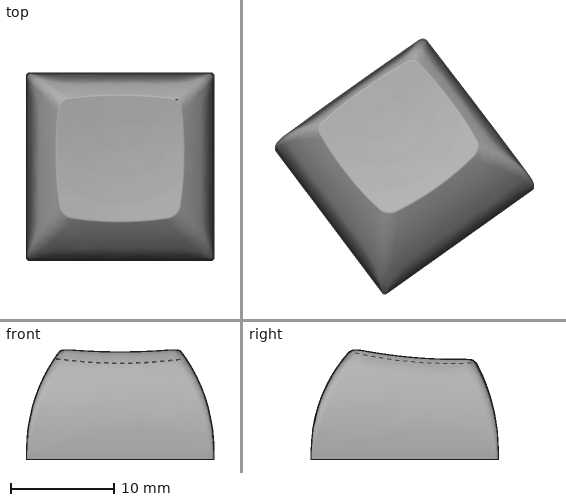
import cadquery as cq
import math

base_side = 18.2
skirt_height = 0.78
base_corner = 0.33

dish_radius = 42.05
dish_low_y = 4.44
dish_low_z = 9.32
rim_fillet = 0.18

top_half_x = 6.25
top_front_y = -5.39
top_back_y = 6.95
top_corner = 1.27
top_bulge = 0.2
top_flare = 0.24

body_top = 11.28
section_count = 6
half = base_side / 2


def dish_height(x, y):
    """Height of the dished top above the point (x, y)."""
    distance_squared = x**2 + (y - dish_low_y) ** 2
    return dish_low_z + dish_radius - math.sqrt(dish_radius**2 - distance_squared)


def wall_inset(z, x, y):
    """Inset at height z of the arc rising vertically from the skirt to the rim at (x, y)."""
    inset = half - max(abs(x), abs(y))
    rise = dish_height(x, y) - skirt_height
    radius = (rise**2 + inset**2) / (2 * inset)
    return radius - math.sqrt(radius**2 - (z - skirt_height) ** 2)


def section(z):
    """Rounded rectangle with bowed sides that narrows with height, flaring at the front."""
    fraction = (z - skirt_height) / (body_top - skirt_height)
    corner = base_corner + (top_corner - base_corner) * fraction
    bulge = top_bulge * fraction
    middle_y = (top_front_y + top_back_y) / 2
    mid_x = half - wall_inset(z, top_half_x, middle_y)
    front = -half + wall_inset(z, 0, top_front_y)
    back = half - wall_inset(z, 0, top_back_y)
    mid_y = (front + back) / 2

    right = mid_x - bulge
    low = front + bulge
    high = back - bulge
    front_right = right + top_flare * fraction
    back_right = right - top_flare * fraction
    front_x = front_right - corner
    back_x = back_right - corner
    inner_low = low + corner
    inner_high = high - corner
    diagonal = corner * math.sqrt(0.5)

    outline = cq.Workplane("XY").workplane(offset=z).moveTo(-front_x, low)
    sides_and_corners = [
        ((0, front), (front_x, low), (front_x + diagonal, inner_low - diagonal), (front_right, inner_low)),
        ((mid_x, mid_y), (back_right, inner_high), (back_x + diagonal, inner_high + diagonal), (back_x, high)),
        ((0, back), (-back_x, high), (-back_x - diagonal, inner_high + diagonal), (-back_right, inner_high)),
        ((-mid_x, mid_y), (-front_right, inner_low), (-front_x - diagonal, inner_low - diagonal), (-front_x, low)),
    ]
    for side_middle, side_end, corner_middle, corner_end in sides_and_corners:
        if bulge > 0:
            outline = outline.threePointArc(side_middle, side_end)
        else:
            outline = outline.lineTo(*side_end)
        outline = outline.threePointArc(corner_middle, corner_end)
    return outline.close().wires().val()


skirt = cq.Workplane("XY").rect(base_side, base_side).extrude(skirt_height)
skirt = skirt.edges("|Z").fillet(base_corner)

step = (body_top - skirt_height) / (section_count - 1)
sections = [section(skirt_height + step * index) for index in range(section_count)]
body = cq.Workplane(obj=cq.Solid.makeLoft(sections))

dish = cq.Workplane("XY").sphere(dish_radius).translate((0, dish_low_y, dish_low_z + dish_radius))
body = body.cut(dish)
body = body.faces(">Z").edges().fillet(rim_fillet)

result = skirt.union(body)